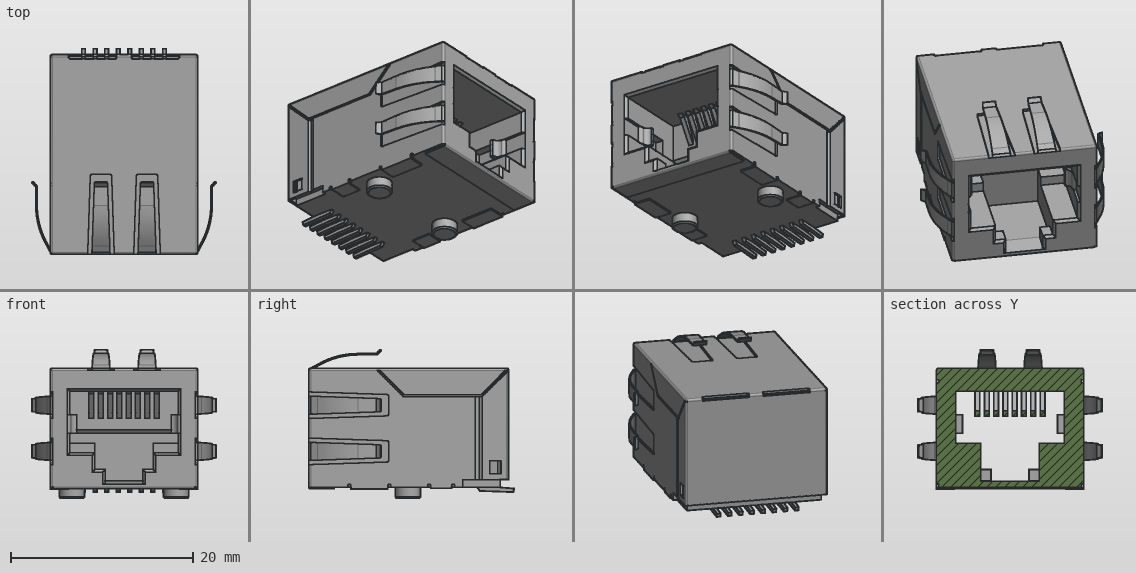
import cadquery as cq
import math

body_width = 16.2
body_length = 21.95
body_height = 13.1
shell = 0.25
edge_radius = 0.24

mouth_half = 6.25
mouth_top = 10.84
ledge_half = 3.5
ledge_height = 3.5
notch_half = 2.36
notch_height = 1.66
sill_height = 0.33
lead_in = 0.3
lead_in_depth = 0.3

upper_wall_y = 9.0
upper_wall_bottom = 6.33
lower_wall_y = 9.3
lower_wall_top = 5.93
floor_height = 0.72
ramp_end_y = 2.0
notch_end_y = ramp_end_y
back_ledge_y = 7.6
back_ledge_height = 4.86

key_bottom = lower_wall_top
key_top = 7.98
key_inner_half = 5.2
key_front_y = 3.05
key_length = 1.0
key_blend = 0.4
groove_length = 7.0
groove_rear_half = 6.9

contact_count = 8
contact_pitch = 1.02
contact_width = 0.55
contact_bottom = 7.6
contact_front_y = 6.8
contact_bend_y = 7.3
contact_bend_drop = 0.28
contact_depth = 0.6

lead_pitch = 1.27
lead_width = 0.42
lead_start_y = 18.5
lead_tip_y = 22.59
lead_tip_top = -0.12
lead_thickness = 0.42
lead_tip_slant = 0.1
lead_heel_length = 0.3
lead_heel_bottom = -0.41

peg_diameter = 2.8
peg_x = 5.72
peg_y = 10.9
peg_bottom = -1.22
peg_chamfer = 0.18

spring_rise = 2.03
spring_crest = 1.6
spring_thickness = 0.16
spring_root_y = 0.24
spring_arc_y = 0.95
spring_arc_height = 0.37
spring_flat_y = 5.4
spring_bend_y = 7.5
spring_tip_y = 7.98
spring_root_width = 2.0
spring_tip_width = 1.44
spring_tip_corner = 0.25
window_end_y = 8.8
window_front_width = 2.92
window_end_width = 2.34
window_corner = 0.25
top_spring_x = 2.53
side_spring_heights = (3.95, 9.02)

seam_width = 0.2
flap_bottom = 9.97
flap_rear_y = 19.04
flap_front_y = 10.4
bend_start_y = 18.3
bend_valley_y = 18.72
bend_depth = 0.2
rear_flap_bottom = 0.85
base_front_y = 16.95
base_recess = 0.45
housing_rear_y = 21.05
latch_front_y = 19.9
latch_crest_y = 20.77
latch_rear_y = 21.1
latch_bottom = 1.5
latch_top = 2.9

slot_inner_x = 0.8
slot_outer_x = 6.1
slot_front_y = 21.48
slot_corner = 0.15
rear_plate_top = 12.75
rear_plate_y = body_length - shell

bottom_tabs = ((4.65, 8.7, 0.19), (13.4, 15.7, 0.12))
side_tab_reach = 2.0
tab_relief_radius = 0.17
front_tab_length = 2.8
front_tab_half = 7.8
front_tab_drop = 0.17
front_tab_bend = 0.22

half_width = body_width / 2


def box(x0, x1, y0, y1, z0, z1):
    return cq.Workplane("XY").box(x1 - x0, y1 - y0, z1 - z0, centered=False).translate((x0, y0, z0))


def side_prism(points, x0, x1):
    """Extrude a closed (y, z) outline from x0 to x1."""
    return cq.Workplane("YZ").workplane(offset=x0).polyline(points).close().extrude(x1 - x0)


def both_sides(right_half):
    return right_half.union(right_half.mirror("YZ"))


def make_body():
    block = box(-half_width, half_width, 0, body_length, 0, body_height)
    return block.edges("|Z or >Z").fillet(edge_radius)


def mouth_outline(inset):
    """Stepped opening outline, with everything but the sill moved inwards."""
    right = [
        (notch_half - inset, sill_height),
        (notch_half - inset, notch_height + inset),
        (ledge_half - inset, notch_height + inset),
        (ledge_half - inset, ledge_height + inset),
        (mouth_half - inset, ledge_height + inset),
        (mouth_half - inset, mouth_top - inset),
    ]
    return right + [(-x, z) for x, z in reversed(right)]


def make_cavity():
    lead = (
        cq.Workplane("XZ").polyline(mouth_outline(0)).close()
        .workplane(offset=-lead_in_depth).polyline(mouth_outline(lead_in)).close()
        .loft(ruled=True)
    )
    inner_half = mouth_half - lead_in
    channel_half = ledge_half - lead_in
    throat_half = notch_half - lead_in
    ledge_top = ledge_height + lead_in
    throat_top = notch_height + lead_in
    room = side_prism(
        [
            (lead_in_depth, ledge_top),
            (back_ledge_y, ledge_top),
            (back_ledge_y, back_ledge_height),
            (lower_wall_y, back_ledge_height),
            (lower_wall_y, lower_wall_top),
            (upper_wall_y, upper_wall_bottom),
            (upper_wall_y, mouth_top - lead_in),
            (lead_in_depth, mouth_top - lead_in),
        ],
        -inner_half, inner_half,
    )
    channel = box(-channel_half, channel_half, notch_end_y, lower_wall_y, floor_height, back_ledge_height)
    channel_front = box(-channel_half, channel_half, lead_in_depth, notch_end_y, throat_top, ledge_top)
    throat = box(-throat_half, throat_half, lead_in_depth, ramp_end_y, sill_height, throat_top)
    ramp = side_prism(
        [(0, sill_height), (ramp_end_y, sill_height), (ramp_end_y, floor_height)],
        -channel_half, channel_half,
    )
    groove = both_sides(box(inner_half, mouth_half, 0, groove_length, key_bottom, key_top))
    groove_rear = both_sides(
        box(mouth_half, groove_rear_half, key_front_y, groove_length, key_bottom, key_top)
    )
    cavity = lead.union(room).union(channel).union(channel_front).union(throat)
    return cavity.cut(ramp).union(groove).union(groove_rear)


def make_keys():
    nose = mouth_half - key_blend - key_inner_half
    key_rear_y = key_front_y + key_length
    key = (
        cq.Workplane("XY").moveTo(mouth_half, key_front_y - key_blend)
        .radiusArc((mouth_half - key_blend, key_front_y), key_blend)
        .radiusArc((key_inner_half, key_front_y + nose), -nose)
        .lineTo(key_inner_half, key_rear_y)
        .lineTo(groove_rear_half, key_rear_y)
        .lineTo(groove_rear_half, key_front_y - key_blend)
        .close().extrude(key_top - key_bottom).translate((0, 0, key_bottom))
    )
    return both_sides(key)


def make_contacts():
    """Wires sloping down and back from the cavity ceiling to the rear wall."""
    top = mouth_top - lead_in
    outline = [
        (contact_front_y, top),
        (contact_bend_y + contact_depth, top),
        (upper_wall_y, contact_bottom + contact_depth),
        (upper_wall_y, contact_bottom),
        (contact_bend_y, top - contact_bend_drop),
    ]
    contacts = cq.Workplane("XY")
    for i in range(contact_count):
        x = (i - (contact_count - 1) / 2) * contact_pitch
        contacts = contacts.add(side_prism(outline, x - contact_width / 2, x + contact_width / 2))
    return contacts


def make_leads():
    outline = [
        (lead_start_y, 0),
        (housing_rear_y, 0),
        (lead_tip_y, lead_tip_top),
        (lead_tip_y - lead_tip_slant, lead_tip_top - lead_thickness),
        (lead_start_y + lead_heel_length, lead_heel_bottom),
    ]
    leads = cq.Workplane("XY")
    for i in range(contact_count):
        x = (i - (contact_count - 1) / 2) * lead_pitch
        leads = leads.add(side_prism(outline, x - lead_width / 2, x + lead_width / 2))
    return leads


def make_pegs():
    peg = cq.Workplane("XY").circle(peg_diameter / 2).extrude(peg_bottom).faces("<Z").chamfer(peg_chamfer)
    return both_sides(peg.translate((peg_x, peg_y, 0)))


def tapered_plan(y0, y1, width0, width1):
    """Symmetric trapezoid in XY, width0 at y0 and width1 at y1."""
    points = [(-width0 / 2, y0), (width0 / 2, y0), (width1 / 2, y1), (-width1 / 2, y1)]
    return cq.Workplane("XY").polyline(points).close()


def make_window():
    cutter = tapered_plan(0, window_end_y, window_front_width, window_end_width).extrude(-shell)
    return cutter.edges("|Z and >Y").fillet(window_corner)


def make_spring():
    """Leaf with a straight root, rising on an arc to a flat crest, with a kicked-up tip."""
    reach = spring_flat_y - spring_arc_y
    rise = spring_crest - spring_arc_height
    radius = (reach ** 2 + rise ** 2) / (2 * rise)
    half_angle = math.asin(reach / radius) / 2
    mid_y = spring_flat_y - radius * math.sin(half_angle)
    mid_z = spring_crest - radius * (1 - math.cos(half_angle))
    t = spring_thickness
    tip_shift = t * math.sqrt(0.5)
    profile = (
        cq.Workplane("YZ").moveTo(spring_root_y, 0)
        .lineTo(spring_arc_y, spring_arc_height)
        .threePointArc((mid_y, mid_z), (spring_flat_y, spring_crest))
        .lineTo(spring_bend_y - t / 2, spring_crest)
        .lineTo(spring_tip_y - tip_shift, spring_rise)
        .lineTo(spring_tip_y, spring_rise - tip_shift)
        .lineTo(spring_bend_y, spring_crest - t)
        .lineTo(spring_flat_y, spring_crest - t)
        .threePointArc((mid_y, mid_z - t), (spring_arc_y, spring_arc_height - t))
        .lineTo(spring_root_y + t, -t)
        .lineTo(spring_root_y + t, -shell)
        .lineTo(0, -shell)
        .close()
    )
    leaf = profile.extrude(spring_root_width / 2, both=True)
    plan = tapered_plan(0, spring_tip_y, spring_root_width, spring_tip_width)
    envelope = plan.extrude(spring_rise + shell).translate((0, 0, -shell))
    return leaf.intersect(envelope.edges("|Z and >Y").fillet(spring_tip_corner))


def at_spring_places(shape):
    """Copies of a local spring shape on the top and on both sides."""
    placed = cq.Workplane("XY")
    for side in (-1, 1):
        placed = placed.add(shape.translate((side * top_spring_x, 0, body_height)))
        turned = shape.rotate((0, 0, 0), (0, 1, 0), side * 90)
        for z in side_spring_heights:
            placed = placed.add(turned.translate((side * half_width, 0, z)))
    return placed


def flap_outline(inset):
    """Trapezoid of the top plate flap with 45 degree ends, in (y, z)."""
    top = body_height - shell
    bottom = flap_bottom + inset
    rise = top - bottom
    shift = inset * math.tan(math.radians(22.5))
    rear = flap_rear_y - shift
    front = flap_front_y + shift
    return [(rear + rise, top), (rear, bottom), (front, bottom), (front - rise, top)]


def make_side_cuts():
    inner = half_width - shell
    seam = side_prism(flap_outline(0), inner, half_width).cut(
        side_prism(flap_outline(seam_width), inner, half_width)
    )
    bend = (
        cq.Workplane("XY")
        .polyline([
            (half_width, bend_start_y),
            (half_width - bend_depth, bend_valley_y),
            (half_width, flap_rear_y),
        ])
        .close().extrude(flap_bottom - rear_flap_bottom).translate((0, 0, rear_flap_bottom))
    )
    base = box(half_width - base_recess, half_width, base_front_y, body_length, 0, rear_flap_bottom)
    latch = (
        cq.Workplane("XY")
        .polyline([
            (half_width, latch_front_y),
            (inner, latch_front_y),
            (half_width - shell / 2, latch_crest_y),
            (inner, latch_crest_y),
            (inner, latch_rear_y),
            (half_width, latch_rear_y),
        ])
        .close().extrude(latch_top - latch_bottom).translate((0, 0, latch_bottom))
    )
    return both_sides(seam.union(bend).union(base).union(latch))


def make_rear_cuts():
    """Gap between housing and rear plate, open at the bottom, plus the top slots."""
    inner = half_width - shell
    gap = box(-inner, inner, housing_rear_y, rear_plate_y, 0, body_height - shell)
    base = box(-half_width, half_width, housing_rear_y, body_length, 0, rear_flap_bottom)
    slot = box(slot_inner_x, slot_outer_x, slot_front_y, body_length, rear_plate_top, body_height)
    slot = slot.edges("|Z and <Y").chamfer(slot_corner)
    below_slot = box(slot_inner_x, slot_outer_x, slot_front_y, rear_plate_y, 0, rear_plate_top)
    return gap.union(base).union(both_sides(slot.union(below_slot)))


def make_bottom_tabs():
    tabs = box(-front_tab_half, front_tab_half, 0, front_tab_length, -front_tab_drop, 0)
    for y0, y1, drop in bottom_tabs:
        tabs = tabs.union(both_sides(box(half_width - side_tab_reach, half_width, y0, y1, -drop, 0)))
    return tabs


def make_front_bend():
    """Material outside the rounded lower front edge of the front tab."""
    z = -front_tab_drop
    return (
        cq.Workplane("YZ").moveTo(0, z).lineTo(front_tab_bend, z)
        .radiusArc((0, z + front_tab_bend), front_tab_bend).close()
        .extrude(front_tab_half, both=True)
    )


def make_tab_reliefs():
    reliefs = cq.Workplane("XY")
    for y0, y1, _ in bottom_tabs:
        for y in (y0 - tab_relief_radius, y1 + tab_relief_radius):
            hole = cq.Workplane("YZ").center(y, tab_relief_radius).circle(tab_relief_radius)
            relief = hole.extrude(shell).translate((half_width - shell, 0, 0))
            reliefs = reliefs.add(both_sides(relief))
    return reliefs


def cut_each(part, cutters):
    for cutter in cutters.vals():
        part = part.cut(cq.Workplane(cutter))
    return part


def join_each(part, pieces):
    for piece in pieces.vals():
        part = part.union(cq.Workplane(piece))
    return part


result = make_body().cut(make_cavity()).union(make_keys())
result = result.cut(make_rear_cuts()).cut(make_side_cuts())
result = cut_each(result, at_spring_places(make_window()))
result = cut_each(result, make_tab_reliefs())
result = join_each(result, at_spring_places(make_spring()))
result = join_each(result, make_contacts())
result = join_each(result, make_leads())
result = result.union(make_pegs()).union(make_bottom_tabs())
result = result.cut(make_front_bend())